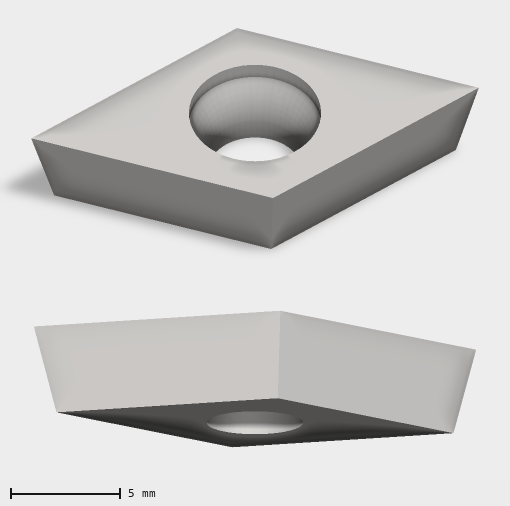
import cadquery as cq
import math

length = 18.3
thickness = 3.97
corner_angle = 55.0
relief_angle = 7.0

rim_diameter = 6.02
bore_diameter = 4.4
rim_depth = 0.8
seat_radius = 2.93

corner = math.radians(corner_angle)
side = length / (1 + math.cos(corner))
half_width = side * math.sin(corner) / 2
half_length = length / 2


def insert_body():
    """Rhombic prism, full size at the top and tapering toward the base."""
    return (
        cq.Workplane("XY")
        .workplane(offset=thickness)
        .polyline([
            (-half_length, -half_width),
            (side - half_length, -half_width),
            (half_length, half_width),
            (half_length - side, half_width),
        ])
        .close()
        .extrude(-thickness, taper=relief_angle)
    )


def screw_hole():
    """Solid of revolution that fills the screw hole."""
    rim_radius = rim_diameter / 2
    bore_radius = bore_diameter / 2
    arc_centre_radius = bore_radius + seat_radius
    seat_depth = math.sqrt(seat_radius**2 - (arc_centre_radius - rim_radius) ** 2)
    seat_top = thickness - rim_depth
    seat_bottom = seat_top - seat_depth

    half_sweep = math.asin(seat_depth / seat_radius) / 2
    seat_middle = (
        arc_centre_radius - seat_radius * math.cos(half_sweep),
        seat_bottom + seat_radius * math.sin(half_sweep),
    )
    return (
        cq.Workplane("XZ")
        .moveTo(0, 0)
        .lineTo(bore_radius, 0)
        .lineTo(bore_radius, seat_bottom)
        .threePointArc(seat_middle, (rim_radius, seat_top))
        .lineTo(rim_radius, thickness)
        .lineTo(0, thickness)
        .close()
        .revolve(360, (0, 0, 0), (0, 1, 0))
    )


result = insert_body().cut(screw_hole())